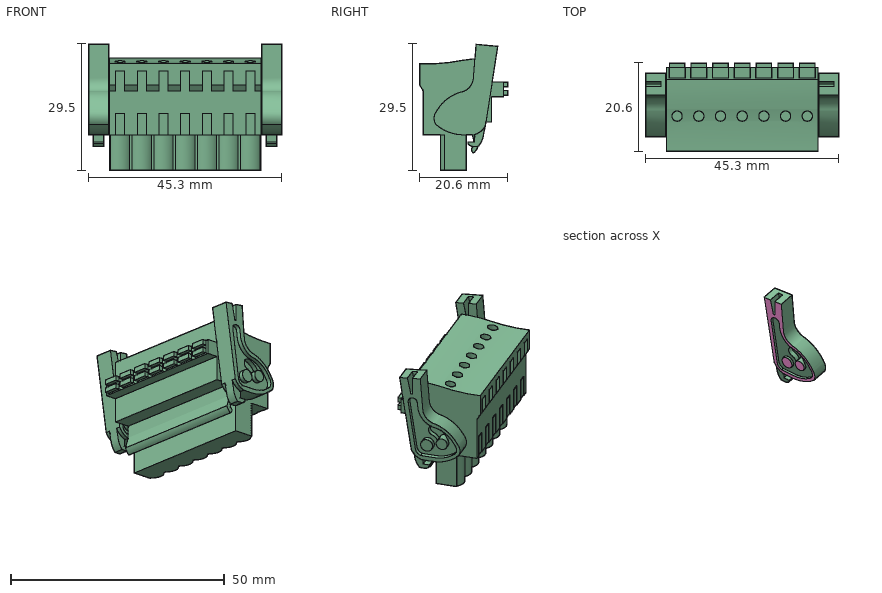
import cadquery as cq
import math


POLES = 7
PITCH = 5.08
POLE_X = [(i - (POLES - 1) / 2) * PITCH for i in range(POLES)]

HOUSING_LENGTH = POLES * PITCH
REAR_Y = 16.0
REAR_FOOT_Y = 12.0
REAR_FOOT_Z = 3.0
NOSE_OVERHANG = 0.84
NOSE_BOTTOM_Z = 11.66
NOSE_ROOT_Z = 10.24
TOP_FRONT_Z = 16.65
TOP_HOLLOW_Z = 16.75
TOP_SWELL_Z = 17.87
TOP_REAR_Z = 18.04
TOP_CREST_Y = 9.04
TOP_CREST_Z = 17.45

NOSE_SLOT_WIDTH = 2.1
NOSE_SLOT_TOP_Z = 15.0
RECESS_HEIGHT = 5.0
RECESS_DEPTH = 0.15
HOLE_DIAMETER = 2.4
HOLE_Y = 7.4
HOLE_FLOOR_Z = 15.75

COLUMN_LENGTH = 8.3
COLUMN_REAR_Y = 10.1
COLUMN_FLAT_Y = 5.03
COLUMN_FRONT_Y = 4.03
COLUMN_ROUND_WIDTH = 4.5

LEDGE_BOTTOM_Z = 8.88
LEDGE_TOP_Z = 12.4
LEDGE_REAR_Y = 18.82
TAB_WALL_GAP = 0.36
TAB_FRONT_Y = REAR_Y + TAB_WALL_GAP
TAB_BOTTOM_Z = 9.25
TAB_WIDTH = 3.66
NOTCH_CLEARANCE = 0.08
PRONG_HEIGHT = 1.15
PRONG_REAR_Y = 19.8
PRONG_DROP = 0.03

OVERALL_LENGTH = 45.26
LEVER_THICKNESS = 4.75
LEVER_LEFT_X = [-OVERALL_LENGTH / 2, OVERALL_LENGTH / 2 - LEVER_THICKNESS]
POCKET_DEPTH = 1.15
GROOVE_DEPTH = 1.3
PIVOT_Y = 10.77
PIVOT_Z = 3.99
PIVOT_RADIUS = 1.5
GUIDE_ORBIT = 3.83
GUIDE_ANGLE = 166
GUIDE_PIN_RADIUS = 1.38
GROOVE_END_ANGLE = 110.5
GROOVE_HALF_WIDTH = 1.28
GRIP_SLOT_LENGTH = 3.6
HOOK_OFFSET = 1.09
HOOK_WIDTH = 2.5


def side_sketch(x):
    """Sketch plane seen along X at the given x; local axes are (Y, Z)."""
    return cq.Workplane("YZ", origin=(x, 0, 0))


def box(x_range, y_range, z_range):
    """Box between the given limits."""
    size = [r[1] - r[0] for r in (x_range, y_range, z_range)]
    corner = (x_range[0], y_range[0], z_range[0])
    return cq.Workplane("XY").box(*size, centered=False).translate(corner)


def centred(x, width):
    """X limits of a feature of the given width centred on x."""
    return (x - width / 2, x + width / 2)


def housing_block():
    """Main block: overhanging nose in front, S-curved top, stepped rear foot."""
    front_bend = ((TOP_CREST_Y - NOSE_OVERHANG) / 2, TOP_HOLLOW_Z)
    rear_bend = ((TOP_CREST_Y + REAR_Y) / 2, TOP_SWELL_Z)
    return (
        side_sketch(-HOUSING_LENGTH / 2)
        .moveTo(0, 0)
        .lineTo(0, NOSE_ROOT_Z)
        .lineTo(-NOSE_OVERHANG, NOSE_BOTTOM_Z)
        .lineTo(-NOSE_OVERHANG, TOP_FRONT_Z)
        .threePointArc(front_bend, (TOP_CREST_Y, TOP_CREST_Z))
        .threePointArc(rear_bend, (REAR_Y, TOP_REAR_Z))
        .lineTo(REAR_Y, REAR_FOOT_Z)
        .lineTo(REAR_FOOT_Y, REAR_FOOT_Z)
        .lineTo(REAR_FOOT_Y, 0)
        .close()
        .extrude(HOUSING_LENGTH)
    )


def columns():
    """Row of wire-entry columns below the block: a flat bar with a rounded front per pole."""
    bar = box(
        centred(0, HOUSING_LENGTH), (COLUMN_FLAT_Y, COLUMN_REAR_Y), (-COLUMN_LENGTH, 0)
    )
    for x in POLE_X:
        left, right = centred(x, COLUMN_ROUND_WIDTH)
        rounded = (
            cq.Workplane("XY", origin=(0, 0, -COLUMN_LENGTH))
            .moveTo(left, COLUMN_FLAT_Y)
            .threePointArc((x, COLUMN_FRONT_Y), (right, COLUMN_FLAT_Y))
            .close()
            .extrude(COLUMN_LENGTH)
        )
        bar = bar.union(rounded)
    return bar


def latch_lip():
    """Curved lip hanging from the rear edge of the underside."""
    return (
        side_sketch(-HOUSING_LENGTH / 2)
        .moveTo(REAR_FOOT_Y, 0)
        .lineTo(11.45, 0)
        .threePointArc((11.8, -1.6), (11.75, -2.75))
        .threePointArc((11.3, -3.5), (11.8, -4.25))
        .threePointArc((12.4, -3.6), (12.85, -2.7))
        .lineTo(12.3, -1.0)
        .close()
        .extrude(HOUSING_LENGTH)
    )


def pole_cutouts(x):
    """Nose slot, lower recess and top hole of one pole."""
    slot_x = centred(x, NOSE_SLOT_WIDTH)
    nose_slot = box(slot_x, (-NOSE_OVERHANG, 0), (NOSE_ROOT_Z, NOSE_SLOT_TOP_Z))
    recess = box(slot_x, (0, RECESS_DEPTH), (0, RECESS_HEIGHT))
    hole = (
        cq.Workplane("XY", origin=(x, HOLE_Y, HOLE_FLOOR_Z))
        .circle(HOLE_DIAMETER / 2)
        .extrude(TOP_REAR_Z - HOLE_FLOOR_Z)
    )
    return nose_slot.union(recess).union(hole)


def ledge_block(x, width):
    """Block within the ledge: the root of a tab or the notch that holds it."""
    return box(
        centred(x, width), (TAB_FRONT_Y, LEDGE_REAR_Y), (TAB_BOTTOM_Z, LEDGE_TOP_Z)
    )


def make_housing():
    ledge = box(
        centred(0, HOUSING_LENGTH), (REAR_Y, LEDGE_REAR_Y), (LEDGE_BOTTOM_Z, LEDGE_TOP_Z)
    )
    body = housing_block().union(columns()).union(latch_lip()).union(ledge)
    notch_width = TAB_WIDTH + 2 * NOTCH_CLEARANCE
    for x in POLE_X:
        body = body.cut(pole_cutouts(x)).cut(ledge_block(x, notch_width))
    return body


def make_tab(x):
    """Tab with two prongs, one above the other, behind its root."""
    tab = ledge_block(x, TAB_WIDTH)
    prong_bottoms = (TAB_BOTTOM_Z, LEDGE_TOP_Z - PRONG_DROP - PRONG_HEIGHT)
    for bottom in prong_bottoms:
        prong = box(
            centred(x, TAB_WIDTH),
            (LEDGE_REAR_Y, PRONG_REAR_Y),
            (bottom, bottom + PRONG_HEIGHT),
        )
        tab = tab.union(prong)
    return tab


def lever_plate(x):
    """Lever outline: straight grip above, rounded cam head below."""
    return (
        side_sketch(x)
        .moveTo(17.48, 20.75)
        .lineTo(12.36, 21.22)
        .lineTo(11.75, 13.52)
        .threePointArc((10.96, 11.28), (8.67, 9.97))
        .threePointArc((5.08, 7.97), (3.33, 5.87))
        .lineTo(2.96, 5.29)
        .threePointArc((2.55, 4.0), (2.96, 2.46))
        .threePointArc((5.3, 0.91), (9.29, 0))
        .lineTo(11.9, 0)
        .threePointArc((13.62, 0.95), (14.58, 2.16))
        .close()
        .extrude(LEVER_THICKNESS)
    )


def lever_pocket(x):
    """Shallow pocket that leaves a rim along the lever outline."""
    return (
        side_sketch(x)
        .moveTo(15.35, 14.7)
        .threePointArc((14.24, 15.9), (13.1, 14.85))
        .lineTo(12.95, 13.5)
        .threePointArc((11.9, 10.88), (9.48, 9.11))
        .threePointArc((6.33, 7.97), (3.94, 5.35))
        .threePointArc((3.4, 4.1), (3.71, 2.96))
        .threePointArc((5.65, 1.75), (8.6, 1.09))
        .lineTo(12.26, 1.09)
        .threePointArc((13.17, 1.71), (13.58, 2.73))
        .close()
        .extrude(POCKET_DEPTH)
    )


def orbit_point(radius, angle):
    """Point at a radius and angle about the pivot; angles turn from +Y towards +Z."""
    turn = math.radians(angle)
    return (PIVOT_Y + radius * math.cos(turn), PIVOT_Z + radius * math.sin(turn))


def guide_groove(x):
    """Kidney-shaped groove about the pivot, sunk into the pocket floor."""
    inner = GUIDE_ORBIT - GROOVE_HALF_WIDTH
    outer = GUIDE_ORBIT + GROOVE_HALF_WIDTH
    middle = (GROOVE_END_ANGLE + GUIDE_ANGLE) / 2
    band = (
        side_sketch(x)
        .moveTo(*orbit_point(inner, GROOVE_END_ANGLE))
        .threePointArc(orbit_point(inner, middle), orbit_point(inner, GUIDE_ANGLE))
        .lineTo(*orbit_point(outer, GUIDE_ANGLE))
        .threePointArc(orbit_point(outer, middle), orbit_point(outer, GROOVE_END_ANGLE))
        .close()
        .extrude(GROOVE_DEPTH)
    )
    round_end = (
        side_sketch(x)
        .center(*orbit_point(GUIDE_ORBIT, GROOVE_END_ANGLE))
        .circle(GROOVE_HALF_WIDTH)
        .extrude(GROOVE_DEPTH)
    )
    return band.union(round_end)


def lever_pins(x):
    """Pivot boss and guide pin, both ending level with the rim."""
    pivot = side_sketch(x).center(PIVOT_Y, PIVOT_Z).circle(PIVOT_RADIUS).extrude(POCKET_DEPTH)
    guide = (
        side_sketch(x)
        .center(*orbit_point(GUIDE_ORBIT, GUIDE_ANGLE))
        .circle(GUIDE_PIN_RADIUS)
        .extrude(POCKET_DEPTH + GROOVE_DEPTH)
    )
    return pivot.union(guide)


def grip_slot(x):
    """Tapered slot in the top of the grip with a round bottom."""
    return (
        side_sketch(x)
        .moveTo(15.62, 21.3)
        .lineTo(14.74, 17.1)
        .threePointArc((14.52, 16.9), (14.3, 17.1))
        .lineTo(14.3, 21.3)
        .close()
        .extrude(GRIP_SLOT_LENGTH)
    )


def lever_hook(x):
    """Forward-facing hook below the cam head."""
    return (
        side_sketch(x + HOOK_OFFSET)
        .moveTo(14.58, 2.16)
        .lineTo(14.17, 0.2)
        .threePointArc((13.65, -1.6), (12.87, -2.73))
        .lineTo(11.46, -2.73)
        .threePointArc((10.9, -2.5), (10.48, -2.05))
        .lineTo(10.48, -1.64)
        .lineTo(12.03, -1.64)
        .lineTo(12.03, 2.16)
        .close()
        .extrude(HOOK_WIDTH)
    )


def make_lever(x):
    """Lever whose left face lies at x."""
    lever = lever_plate(x).union(lever_hook(x)).cut(lever_pocket(x))
    lever = lever.cut(guide_groove(x + POCKET_DEPTH)).cut(grip_slot(x))
    return lever.union(lever_pins(x))


housing = make_housing()
tabs = [make_tab(x) for x in POLE_X]
levers = [make_lever(x) for x in LEVER_LEFT_X]

result = cq.Compound.makeCompound([body.val() for body in [housing, *tabs, *levers]])